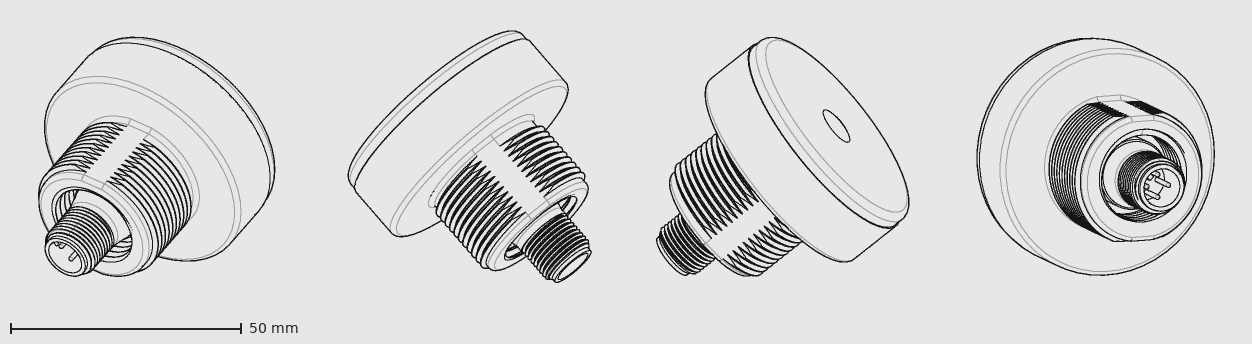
import cadquery as cq

housing_radius = 25.0
housing_length = 13.0
housing_edge_radius = 1.0
cap_radius = 24.7
cap_face_y = 16.5
cap_edge_radius = 1.5
dome_sphere_radius = 10.0
dome_height = 1.0

sleeve_radius = 14.0
sleeve_length = 20.0
sleeve_edge_radius = 1.0
flat_offset = 13.75
sleeve_thread_crest_radius = 15.0
sleeve_thread_pitch = 1.5
sleeve_thread_base_width = 1.45
sleeve_thread_crest_width = 0.2
sleeve_thread_start = 2.3
sleeve_thread_half_turns = 21

bore_radius = 9.5
bore_depth = 10.0
bore_thread_root_radius = 10.95
bore_thread_pitch = 1.8
bore_thread_mouth_width = 1.7
bore_thread_root_width = 0.1
bore_thread_turns_inside = 5

connector_end = 31.0
foot_radius = 7.7
foot_end = 14.5
cone_base_radius = 7.35
cone_start = 15.0
cone_end = 19.5
collar_radius = 6.3
connector_crest_radius = 6.25
collar_end = 21.1
connector_root_radius = 5.6
connector_thread_pitch = 1.0
connector_thread_base_width = 0.8
connector_thread_crest_width = 0.1
connector_thread_start = 20.0
connector_thread_half_turns = 20
tip_radius = 5.15
tip_start = 30.15

socket_radius = 4.2
socket_floor = 22.0
key_width = 1.2
key_inner_radius = 3.0
key_angle = 45
key_end = 30.5
pin_radius = 0.5
pin_end = 29.0
pin_edge_radius = 0.45
pin_circle_radius = 2.5
pin_count = 4

overlap = 0.05

origin = cq.Vector(0, 0, 0)
x_axis = cq.Vector(1, 0, 0)
y_axis = cq.Vector(0, 1, 0)
z_axis = cq.Vector(0, 0, 1)


def disc(radius, start, end):
    """Cylinder on the axis between two distances toward -Y."""
    return cq.Workplane("XZ", origin=(0, -start, 0)).circle(radius).extrude(end - start)


def turned(profile):
    """Turned body from (radius, distance toward -Y) corners."""
    points = [(radius, -distance) for radius, distance in profile]
    return cq.Workplane("XY").polyline(points).close().revolve(axisStart=(0, 0, 0), axisEnd=(0, 1, 0))


def helical_half_turn(inner, outer, pitch, start):
    """Half turn of a right-handed ridge, starting at +Z and winding toward -Y.

    The ridge runs between an inner and an outer (radius, width); start is the middle of its first end.
    """

    def edge(radius, offset):
        helix = cq.Wire.makeHelix(pitch, pitch / 2, radius)
        return helix.moved(cq.Location(cq.Vector(0, 0, offset)))

    inner_radius, inner_width = inner
    outer_radius, outer_width = outer
    edges = [
        edge(inner_radius, -inner_width / 2),
        edge(outer_radius, -outer_width / 2),
        edge(outer_radius, outer_width / 2),
        edge(inner_radius, inner_width / 2),
    ]
    faces = [cq.Face.makeRuledSurface(edges[index - 1], edges[index]) for index in range(len(edges))]
    start_corners = [helix.startPoint() for helix in edges]
    end_corners = [helix.endPoint() for helix in edges]
    for corners in (start_corners, end_corners):
        faces.append(cq.Face.makeFromWires(cq.Wire.makePolygon(corners, close=True)))
    half_turn = cq.Solid.makeSolid(cq.Shell.makeShell(faces))
    half_turn = half_turn.rotate(origin, z_axis, 90).rotate(origin, x_axis, 90)
    return half_turn.translate(cq.Vector(0, -start, 0))


def repeated(half_turn, pitch, count):
    """Ridge made of a number of half turns that follow one another."""
    half_turns = []
    for index in range(count):
        advance = cq.Vector(0, -index * pitch / 2, 0)
        half_turns.append(half_turn.rotate(origin, y_axis, -180 * index).translate(advance))
    return cq.Workplane(obj=half_turns[0].fuse(*half_turns[1:]))


def make_housing():
    housing = disc(housing_radius, -housing_length, 0).faces("<Y").edges().fillet(housing_edge_radius)
    cap = disc(cap_radius, -cap_face_y, -housing_length)
    cap = cap.faces(">Y").edges().fillet(cap_edge_radius)
    dome_center_y = cap_face_y + dome_height - dome_sphere_radius
    dome = cq.Workplane("XY").sphere(dome_sphere_radius).translate((0, dome_center_y, 0))
    dome = dome.intersect(disc(dome_sphere_radius, -cap_face_y - dome_height, -cap_face_y + overlap))
    return housing.union(cap).union(dome)


def between_flats():
    """Slab that trims the sleeve and its thread to the two flats."""
    width = 2 * housing_radius
    slab = cq.Workplane("XY").box(width, sleeve_length, 2 * flat_offset)
    return slab.translate((0, -sleeve_length / 2, 0))


def add_sleeve(housing):
    sleeve = disc(sleeve_radius, 0, sleeve_length).intersect(between_flats())
    sleeve = sleeve.faces("<Y").edges().fillet(sleeve_edge_radius)
    reach = sleeve_radius + overlap
    root = cq.selectors.BoxSelector((-reach, -overlap, -reach), (reach, overlap, reach), boundingbox=True)
    return housing.union(sleeve).edges(root).fillet(sleeve_edge_radius)


def cut_threaded_bore(body):
    """Bore with a V groove that runs out through the sleeve end, deepest there at +Z."""
    body = body.cut(disc(bore_radius, sleeve_length - bore_depth, sleeve_length))
    half_turn = helical_half_turn(
        (bore_radius - overlap, bore_thread_mouth_width),
        (bore_thread_root_radius, bore_thread_root_width),
        bore_thread_pitch,
        sleeve_length - bore_thread_turns_inside * bore_thread_pitch,
    )
    half_turn_count = 2 * (bore_thread_turns_inside + 1)
    return body.cut(repeated(half_turn, bore_thread_pitch, half_turn_count))


def add_sleeve_thread(body):
    half_turn = helical_half_turn(
        (sleeve_radius - overlap, sleeve_thread_base_width),
        (sleeve_thread_crest_radius, sleeve_thread_crest_width),
        sleeve_thread_pitch,
        sleeve_thread_start,
    )
    trimmed = half_turn.intersect(between_flats().val())
    return body.union(repeated(trimmed, sleeve_thread_pitch, sleeve_thread_half_turns))


def make_connector():
    foot_start = sleeve_length - bore_depth - overlap
    core = turned([
        (0, foot_start),
        (foot_radius, foot_start),
        (foot_radius, foot_end),
        (cone_base_radius, cone_start),
        (collar_radius, cone_end),
        (collar_radius, collar_end),
        (connector_root_radius, collar_end),
        (connector_root_radius, tip_start),
        (tip_radius, tip_start),
        (tip_radius, connector_end),
        (0, connector_end),
    ])
    half_turn = helical_half_turn(
        (connector_root_radius - overlap, connector_thread_base_width),
        (connector_crest_radius, connector_thread_crest_width),
        connector_thread_pitch,
        connector_thread_start,
    )
    chamfer_reach = collar_radius + overlap - tip_radius
    outside_chamfer = turned([
        (tip_radius, tip_start),
        (tip_radius + chamfer_reach, tip_start - chamfer_reach),
        (tip_radius + chamfer_reach, connector_end),
        (tip_radius, connector_end),
    ])
    thread = repeated(half_turn, connector_thread_pitch, connector_thread_half_turns)
    return core.union(thread).cut(outside_chamfer)


def make_key():
    """Square rib along the socket wall, toward -X and +Z."""
    key_outer_radius = socket_radius + overlap
    key_middle = (key_inner_radius + key_outer_radius) / 2
    key = cq.Workplane("XZ", origin=(-key_middle, -socket_floor + overlap, 0))
    key = key.rect(key_outer_radius - key_inner_radius, key_width)
    key = key.extrude(key_end - socket_floor + overlap)
    return key.rotate(origin, y_axis, key_angle)


def cut_socket(connector):
    connector = connector.cut(disc(socket_radius, socket_floor, connector_end)).union(make_key())
    pin = disc(pin_radius, socket_floor - overlap, pin_end)
    pin = pin.faces("<Y").edges().fillet(pin_edge_radius).translate((pin_circle_radius, 0, 0))
    for index in range(pin_count):
        angle = index * 360 / pin_count
        connector = connector.union(pin.rotate(origin, y_axis, angle))
    return connector


body = add_sleeve_thread(cut_threaded_bore(add_sleeve(make_housing())))
result = cq.Workplane(obj=body.union(cut_socket(make_connector())).solids().val())